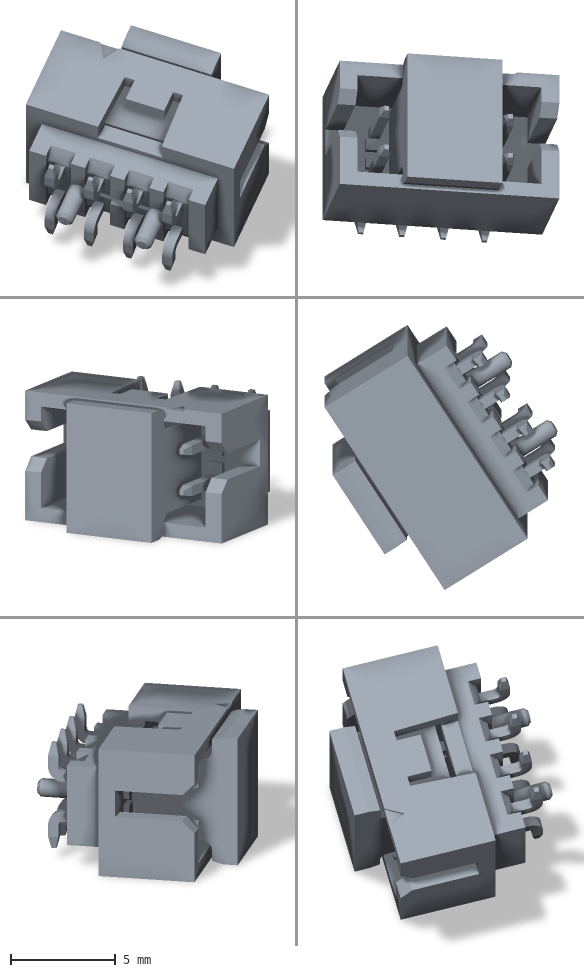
import cadquery as cq
import math


HOUSING_X = 10.65
HOUSING_Y = 4.7
HOUSING_Z = 6.35
HALF_HOUSING_Z = HOUSING_Z / 2
TOP_WALL = 0.69
SIDE_WALL = 0.86
CAVITY_FLOOR_Y = 0.82

COLUMN_PITCH = 2.0
COLUMNS = 4
ROW_PITCH = COLUMN_PITCH
ROW_Z = ROW_PITCH / 2
COLUMN_XS = [(i - (COLUMNS - 1) / 2) * COLUMN_PITCH for i in range(COLUMNS)]

SLOT_TOP_Z = 1.16
SLOT_BOTTOM_Z = -0.16
SLOT_CHAMFER = 0.59

WINDOW_DEPTH = 0.89
WINDOW_BACK_Y = 3.2
WINDOW_HALF_FRONT = 1.63
WINDOW_HALF_BACK = 1.49
TAB_WIDTH = 1.97
TAB_FRONT_Y = 2.01

MARK_X = -2.82
MARK_WIDTH = 0.98
MARK_LENGTH = 0.85
MARK_DEPTH = 0.1

BASE_X = 9.0
BASE_Y = 1.69
BASE_Z = 3.98
POCKET_WIDTH = 1.28
POCKET_DEPTH = 0.25
POCKET_MOUTH_DEPTH = 0.66
POCKET_SLOPE_Z = 0.68
GROOVE_DEPTH = 0.45
GROOVE_HEIGHT = 0.52

PIN_SIZE = 0.5
PIN_TIP_SIZE = 0.23
PIN_TAPER = 0.61
PIN_BACK_Y = 4.42
PIN_LEG_Y = -2.64
PIN_END_Z = 2.64
BEND_INNER_RADIUS = 0.2
SHELF_WIDTH = 0.8
SHELF_BOTTOM_Z = 0.16

ARC_MIDDLE = math.cos(math.radians(45))

PEG_DIAMETER = 0.88
PEG_TIP_Y = -3.63
PEG_CHAMFER = 0.16
PEG_X = COLUMN_PITCH

PLUG_X = 4.61
PLUG_END_Y = 1.1
PLUG_BACK_Y = 6.17
PLUG_HALF_Z = 2.03
HEAD_FRONT_Y = 4.9
HEAD_SLOPE_Y = 5.43
HEAD_EDGE_DROP = 0.14
NECK_RADIUS = 0.45


def box(x0, x1, y0, y1, z0, z1):
    """Box between two opposite corners."""
    return cq.Workplane("XY").box(x1 - x0, y1 - y0, z1 - z0, centered=False).translate((x0, y0, z0))


def prism_along_x(outline, width, center_x=0.0):
    """Extrude a closed YZ outline symmetrically about a given X."""
    return outline.extrude(width / 2, both=True).translate((center_x, 0, 0))


def make_housing():
    half_x = HOUSING_X / 2
    inner_x = half_x - SIDE_WALL
    inner_z = HALF_HOUSING_Z - TOP_WALL
    housing = box(-half_x, half_x, 0, HOUSING_Y, -HALF_HOUSING_Z, HALF_HOUSING_Z)
    housing = housing.cut(box(-inner_x, inner_x, CAVITY_FLOOR_Y, HOUSING_Y, -inner_z, inner_z))

    flare_y = HOUSING_Y - SLOT_CHAMFER
    slot = cq.Workplane("YZ").polyline([
        (CAVITY_FLOOR_Y, SLOT_BOTTOM_Z),
        (flare_y, SLOT_BOTTOM_Z),
        (HOUSING_Y, SLOT_BOTTOM_Z - SLOT_CHAMFER),
        (HOUSING_Y, SLOT_TOP_Z + SLOT_CHAMFER),
        (flare_y, SLOT_TOP_Z),
        (CAVITY_FLOOR_Y, SLOT_TOP_Z),
    ]).close()
    housing = housing.cut(prism_along_x(slot, HOUSING_X))

    half_tab = TAB_WIDTH / 2
    window = (
        cq.Workplane("XY", origin=(0, 0, HALF_HOUSING_Z))
        .polyline([
            (-WINDOW_HALF_FRONT, 0),
            (WINDOW_HALF_FRONT, 0),
            (WINDOW_HALF_BACK, WINDOW_BACK_Y),
            (half_tab, WINDOW_BACK_Y),
            (half_tab, TAB_FRONT_Y),
            (-half_tab, TAB_FRONT_Y),
            (-half_tab, WINDOW_BACK_Y),
            (-WINDOW_HALF_BACK, WINDOW_BACK_Y),
        ])
        .close()
        .extrude(-WINDOW_DEPTH)
    )
    mark = (
        cq.Workplane("XY", origin=(MARK_X, HOUSING_Y, HALF_HOUSING_Z))
        .polyline([(-MARK_WIDTH / 2, 0), (MARK_WIDTH / 2, 0), (0, -MARK_LENGTH)])
        .close()
        .extrude(-MARK_DEPTH)
    )
    return housing.cut(window).cut(mark)


def make_base():
    half_z = BASE_Z / 2
    base = box(-BASE_X / 2, BASE_X / 2, -BASE_Y, 0, -half_z, half_z)

    floor_y = -BASE_Y + POCKET_DEPTH
    mouth_y = -BASE_Y + POCKET_MOUTH_DEPTH
    slope_z = half_z - POCKET_SLOPE_Z
    for x in COLUMN_XS:
        pocket = cq.Workplane("YZ").polyline([
            (-BASE_Y, -half_z),
            (mouth_y, -half_z),
            (floor_y, -slope_z),
            (floor_y, slope_z),
            (mouth_y, half_z),
            (-BASE_Y, half_z),
        ]).close()
        base = base.cut(prism_along_x(pocket, POCKET_WIDTH, x))

    half_groove = GROOVE_HEIGHT / 2
    groove = box(-PEG_X, PEG_X, -BASE_Y, -BASE_Y + GROOVE_DEPTH, -half_groove, half_groove)
    return base.cut(groove)


def pin_taper(plane):
    """Tapered pin end standing on the given plane."""
    return (
        cq.Workplane(plane)
        .rect(PIN_SIZE, PIN_SIZE)
        .workplane(offset=PIN_TAPER)
        .rect(PIN_TIP_SIZE, PIN_TIP_SIZE)
        .loft(ruled=True)
    )


def make_upper_pin(x):
    """Bent pin of the upper row with its supporting shelf."""
    half = PIN_SIZE / 2
    bend_outer_radius = BEND_INNER_RADIUS + PIN_SIZE
    shank_back_y = PIN_BACK_Y - PIN_TAPER
    leg_top_z = PIN_END_Z - PIN_TAPER
    bend_y = PIN_LEG_Y + half + BEND_INNER_RADIUS
    bend_z = ROW_Z + half + BEND_INNER_RADIUS

    def bend_middle(radius):
        return (bend_y - radius * ARC_MIDDLE, bend_z - radius * ARC_MIDDLE)

    outline = (
        cq.Workplane("YZ")
        .moveTo(shank_back_y, ROW_Z - half)
        .lineTo(bend_y, ROW_Z - half)
        .threePointArc(bend_middle(bend_outer_radius), (PIN_LEG_Y - half, bend_z))
        .lineTo(PIN_LEG_Y - half, leg_top_z)
        .lineTo(PIN_LEG_Y + half, leg_top_z)
        .lineTo(PIN_LEG_Y + half, bend_z)
        .threePointArc(bend_middle(BEND_INNER_RADIUS), (bend_y, ROW_Z + half))
        .lineTo(shank_back_y, ROW_Z + half)
        .close()
    )
    leg_end = pin_taper(cq.Plane((x, PIN_LEG_Y, leg_top_z), (1, 0, 0), (0, 0, 1)))
    contact_end = pin_taper(cq.Plane((x, shank_back_y, ROW_Z), (1, 0, 0), (0, 1, 0)))
    shelf = box(
        x - SHELF_WIDTH / 2, x + SHELF_WIDTH / 2,
        CAVITY_FLOOR_Y, PLUG_END_Y,
        SHELF_BOTTOM_Z, ROW_Z - half,
    )
    return prism_along_x(outline, PIN_SIZE, x).union(leg_end).union(contact_end).union(shelf)


def make_peg(x):
    root_y = -BASE_Y + GROOVE_DEPTH
    return (
        cq.Workplane("XZ", origin=(x, root_y, 0))
        .circle(PEG_DIAMETER / 2)
        .extrude(root_y - PEG_TIP_Y)
        .faces("<Y")
        .chamfer(PEG_CHAMFER)
    )


def make_plug():
    neck_z = PLUG_HALF_Z + NECK_RADIUS
    neck_y = HEAD_FRONT_Y - NECK_RADIUS
    neck_middle = (neck_y + NECK_RADIUS * ARC_MIDDLE, neck_z - NECK_RADIUS * ARC_MIDDLE)
    outline = (
        cq.Workplane("YZ")
        .moveTo(PLUG_END_Y, 0)
        .lineTo(PLUG_END_Y, PLUG_HALF_Z)
        .lineTo(neck_y, PLUG_HALF_Z)
        .threePointArc(neck_middle, (HEAD_FRONT_Y, neck_z))
        .lineTo(HEAD_FRONT_Y, HALF_HOUSING_Z - HEAD_EDGE_DROP)
        .lineTo(HEAD_SLOPE_Y, HALF_HOUSING_Z)
        .lineTo(PLUG_BACK_Y, HALF_HOUSING_Z)
        .lineTo(PLUG_BACK_Y, 0)
        .close()
    )
    upper_half = prism_along_x(outline, PLUG_X)
    return upper_half.union(upper_half.mirror("XY"))


result = make_housing().union(make_base()).union(make_plug())
for column_x in COLUMN_XS:
    pin = make_upper_pin(column_x)
    result = result.union(pin).union(pin.mirror("XY"))
for side in (-1, 1):
    result = result.union(make_peg(side * PEG_X))